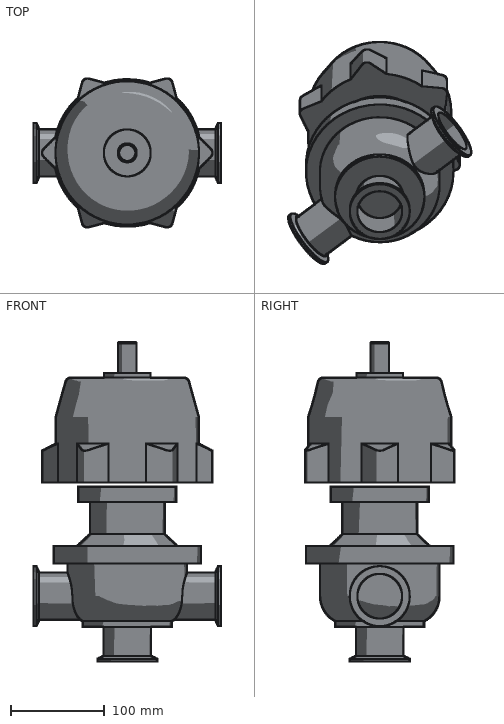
import cadquery as cq
import math

PIPE_DIAMETER = 50.8
BORE_DIAMETER = 47.7
FERRULE_DIAMETER = 64.0
FERRULE_NECK_DIAMETER = 52.5
FERRULE_RIM = 3.0
FERRULE_DEPTH = 5.8
PORT_SPAN = 200.0
PORT_REACH = PORT_SPAN / 2

BASE_PLATE_DIAMETER = 95.5
BOWL_DIAMETER = 128.0
COLLAR_DIAMETER = 157.5
CONE_BASE_DIAMETER = 107.0
NECK_DIAMETER = 80.0
TOP_FLANGE_DIAMETER = 105.0

BASE_PLATE_BOTTOM = 37.0
BASE_PLATE_TOP = 44.5
PORT_AXIS_HEIGHT = 70.0
BOWL_ROUND_RADIUS = 30.0
COLLAR_BOTTOM = 104.7
COLLAR_TOP = 123.5
NECK_BOTTOM = 136.0
TOP_FLANGE_BOTTOM = 170.0
TOP_FLANGE_TOP = 187.0

ACTUATOR_BOTTOM = 191.0
SHOULDER_HEIGHT = 261.0
CAP_TOP = 303.0
BOSS_TOP = 308.3
SHAFT_TOP = 341.0
ACTUATOR_DIAMETER = 153.0
CAP_DIAMETER = 129.5
CAP_ROUND_RADIUS = 6.0
BOSS_DIAMETER = 50.0
SHAFT_DIAMETER = 20.0
SHAFT_CHAMFER = 1.5

RIB_COUNT = 6
RIB_APEX_RADIUS = 93.5
RIB_TIP_ROUND = 6.0
RIB_TIP_HEIGHT = 225.0
RIB_ROOT_HEIGHT = 232.5


def disc(diameter, bottom, top):
    return cq.Workplane("XY").workplane(offset=bottom).circle(diameter / 2).extrude(top - bottom)


def frustum(lower_diameter, upper_diameter, bottom, top):
    return cq.Workplane(cq.Solid.makeCone(
        lower_diameter / 2, upper_diameter / 2, top - bottom, pnt=cq.Vector(0, 0, bottom)))


def ferruled_pipe(length):
    """Pipe running up from its open face at Z = 0, not yet bored."""
    rim = disc(FERRULE_DIAMETER, 0, FERRULE_RIM)
    taper = frustum(FERRULE_DIAMETER, FERRULE_NECK_DIAMETER, FERRULE_RIM, FERRULE_DEPTH)
    return disc(PIPE_DIAMETER, 0, length).union(rim).union(taper)


def side_placed(shape, direction):
    """Move a shape built up from Z = 0 to a side port; direction is -1 or 1 along X."""
    turned = shape.rotate((0, 0, 0), (0, 1, 0), -direction * 90)
    return turned.translate((direction * PORT_REACH, 0, PORT_AXIS_HEIGHT))


def make_bowl():
    """Solid bowl whose rounded lower edge runs down into the base plate."""
    radius = BOWL_DIAMETER / 2
    floor_radius = radius - BOWL_ROUND_RADIUS
    floor_height = PORT_AXIS_HEIGHT - BOWL_ROUND_RADIUS
    arc_offset = BOWL_ROUND_RADIUS * math.sqrt(0.5)
    return (
        cq.Workplane("XZ")
        .moveTo(0, floor_height)
        .lineTo(floor_radius, floor_height)
        .threePointArc((floor_radius + arc_offset, PORT_AXIS_HEIGHT - arc_offset), (radius, PORT_AXIS_HEIGHT))
        .lineTo(radius, COLLAR_BOTTOM)
        .lineTo(0, COLLAR_BOTTOM)
        .close()
        .revolve(360, (0, 0, 0), (0, 1, 0))
    )


def make_valve_body():
    core = make_bowl().union(disc(BASE_PLATE_DIAMETER, BASE_PLATE_BOTTOM, BASE_PLATE_TOP))

    body = core.union(ferruled_pipe(BASE_PLATE_BOTTOM))
    body = body.cut(disc(BORE_DIAMETER, 0, BASE_PLATE_BOTTOM))
    side_bore = disc(BORE_DIAMETER, 0, PORT_REACH)
    for direction in (-1, 1):
        pipe = side_placed(ferruled_pipe(PORT_REACH), direction)
        bore = side_placed(side_bore, direction).cut(core)
        body = body.union(pipe).cut(bore)

    body = body.union(disc(COLLAR_DIAMETER, COLLAR_BOTTOM, COLLAR_TOP))
    body = body.union(frustum(CONE_BASE_DIAMETER, NECK_DIAMETER, COLLAR_TOP, NECK_BOTTOM))
    body = body.union(disc(NECK_DIAMETER, NECK_BOTTOM, TOP_FLANGE_BOTTOM))
    return body.union(disc(TOP_FLANGE_DIAMETER, TOP_FLANGE_BOTTOM, TOP_FLANGE_TOP))


def make_ribs():
    """Right-angled ribs with rounded tips, trimmed by one conical top face."""
    ribs = cq.Workplane("XY")
    for index in range(RIB_COUNT):
        rib = (
            cq.Workplane("XY")
            .workplane(offset=ACTUATOR_BOTTOM)
            .polyline([
                (RIB_APEX_RADIUS, 0),
                (RIB_APEX_RADIUS / 2, RIB_APEX_RADIUS / 2),
                (0, 0),
                (RIB_APEX_RADIUS / 2, -RIB_APEX_RADIUS / 2),
            ])
            .close()
            .extrude(RIB_ROOT_HEIGHT - ACTUATOR_BOTTOM)
            .edges("|Z").edges(">X")
            .fillet(RIB_TIP_ROUND)
        )
        ribs = ribs.add(rib.rotate((0, 0, 0), (0, 0, 1), index * 360 / RIB_COUNT))
    tip_diameter = 2 * (RIB_APEX_RADIUS - RIB_TIP_ROUND * (math.sqrt(2) - 1))
    lower_envelope = disc(tip_diameter, ACTUATOR_BOTTOM, RIB_TIP_HEIGHT)
    sloped_envelope = frustum(tip_diameter, ACTUATOR_DIAMETER, RIB_TIP_HEIGHT, RIB_ROOT_HEIGHT)
    return ribs.combine().intersect(lower_envelope.union(sloped_envelope))


def make_actuator():
    cap = frustum(ACTUATOR_DIAMETER, CAP_DIAMETER, SHOULDER_HEIGHT, CAP_TOP)
    cap = cap.faces(">Z").edges().fillet(CAP_ROUND_RADIUS)
    shaft = disc(SHAFT_DIAMETER, BOSS_TOP, SHAFT_TOP).faces(">Z").chamfer(SHAFT_CHAMFER)
    housing = disc(ACTUATOR_DIAMETER, ACTUATOR_BOTTOM, SHOULDER_HEIGHT).union(make_ribs())
    return housing.union(cap).union(disc(BOSS_DIAMETER, CAP_TOP, BOSS_TOP)).union(shaft)


valve_body = make_valve_body()
actuator = make_actuator()
result = cq.Compound.makeCompound([valve_body.solids().val(), actuator.solids().val()])